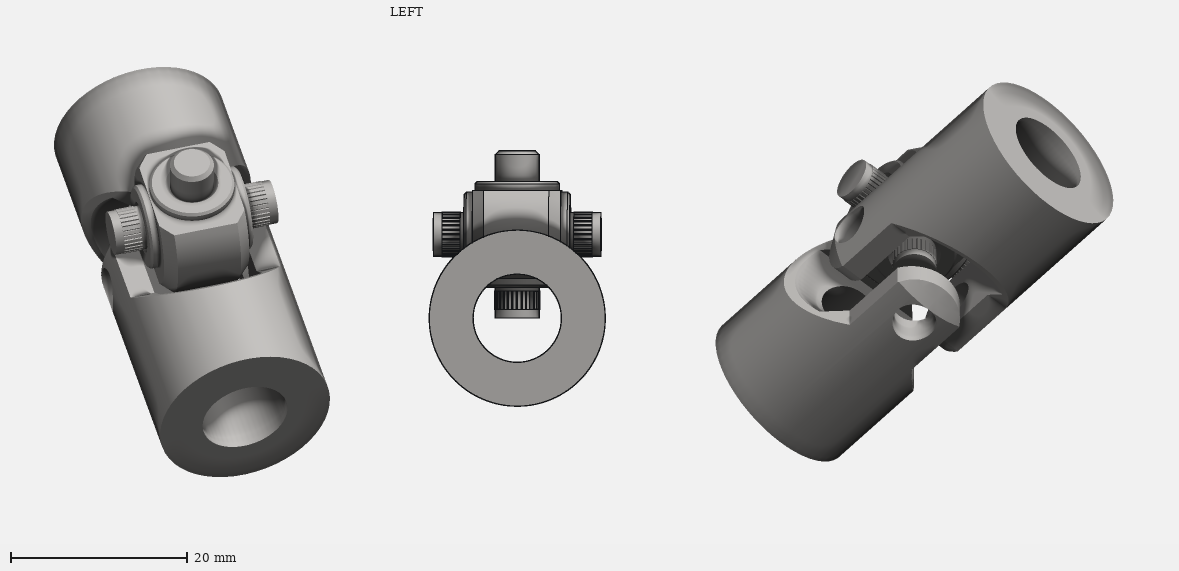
import cadquery as cq
import math


JOINT_LENGTH = 45.0
FORK_DIAMETER = 20.0
BORE_DIAMETER = 10.0
PIN_DIAMETER = 5.0
CROSS_LIFT = 9.5
CROSS_TURN = -1.0

ARM_WIDTH = 9.4
ARM_REACH = 5.0
ARM_SIDE_REACH = 2.35
TIP_BEVEL_START = 2.48
TIP_BEVEL_ANGLE = 30.0
SHOULDER_START = 11.02
ARM_GAP = 12.0
GAP_FLOOR_RADIUS = 10.12

BLOCK_SIZE = 10.0
BLOCK_ROUND_RADIUS = 8.0
BLOCK_CHAMFER = 1.3
COLLAR_DIAMETER = 9.65
COLLAR_CHAMFER = 0.25
COUNTERSINK_DIAMETER = 6.0

PIN_REACH = 9.5
PIN_CHAMFER = 0.45
KNURL_MARGIN = 1.0
KNURL_LENGTH = 2.05
KNURL_TEETH = 30
KNURL_TIP_RADIUS = 2.55
KNURL_ROOT_RADIUS = 2.45
CREST_SHARE = 0.7

HALF_LENGTH = JOINT_LENGTH / 2
FORK_RADIUS = FORK_DIAMETER / 2
PIN_RADIUS = PIN_DIAMETER / 2
ARM_HALF_WIDTH = ARM_WIDTH / 2
SHOULDER_END = SHOULDER_START - (FORK_RADIUS - ARM_HALF_WIDTH)
TIP_RADIUS = FORK_RADIUS - (ARM_REACH - TIP_BEVEL_START) * math.tan(math.radians(TIP_BEVEL_ANGLE))
COLLAR_FACE = ARM_GAP / 2
COUNTERSINK_DEPTH = (COUNTERSINK_DIAMETER - PIN_DIAMETER) / 2
KNURL_END = PIN_REACH - KNURL_MARGIN
KNURL_START = KNURL_END - KNURL_LENGTH

ORIGIN = (0, 0, 0)
X_AXIS = (1, 0, 0)
Y_AXIS = (0, 1, 0)
Z_AXIS = (0, 0, 1)


def fork():
    """Fork with its shaft end toward -X and its arms above and below the X axis."""
    sleeve = (
        cq.Workplane("XY")
        .moveTo(-HALF_LENGTH, BORE_DIAMETER / 2)
        .lineTo(-HALF_LENGTH, FORK_RADIUS)
        .lineTo(TIP_BEVEL_START, FORK_RADIUS)
        .lineTo(ARM_REACH, TIP_RADIUS)
        .lineTo(ARM_REACH, BORE_DIAMETER / 2)
        .close()
        .revolve(360, ORIGIN, X_AXIS)
    )
    arm_outline = (
        cq.Workplane("XY")
        .moveTo(-HALF_LENGTH, -FORK_RADIUS)
        .lineTo(-SHOULDER_START, -FORK_RADIUS)
        .lineTo(-SHOULDER_END, -ARM_HALF_WIDTH)
        .lineTo(ARM_SIDE_REACH, -ARM_HALF_WIDTH)
        .threePointArc((ARM_REACH, 0), (ARM_SIDE_REACH, ARM_HALF_WIDTH))
        .lineTo(-SHOULDER_END, ARM_HALF_WIDTH)
        .lineTo(-SHOULDER_START, FORK_RADIUS)
        .lineTo(-HALF_LENGTH, FORK_RADIUS)
        .close()
        .extrude(FORK_RADIUS, both=True)
    )
    gap = (
        cq.Workplane("XZ")
        .circle(GAP_FLOOR_RADIUS)
        .extrude(FORK_RADIUS, both=True)
        .intersect(cq.Workplane("XY").box(JOINT_LENGTH, FORK_DIAMETER, ARM_GAP))
    )
    pin_hole = cq.Workplane("XY").circle(PIN_RADIUS).extrude(FORK_RADIUS, both=True)
    return sleeve.intersect(arm_outline).cut(gap).cut(pin_hole)


def place_in_cross(body):
    """Move a body from the cross centre at the origin to its place in the joint."""
    return body.rotate(ORIGIN, Z_AXIS, CROSS_TURN).translate((0, 0, CROSS_LIFT))


def block_envelope():
    """Block without collars or bores: rounded, bevelled toward +-Y, flat above and below."""
    return (
        cq.Workplane("XZ")
        .circle(BLOCK_ROUND_RADIUS)
        .extrude(BLOCK_SIZE / 2, both=True)
        .edges()
        .chamfer(BLOCK_CHAMFER)
        .intersect(cq.Workplane("XY").box(JOINT_LENGTH, BLOCK_SIZE, BLOCK_SIZE))
    )


def collars():
    """Bar along Z that leaves a collar proud of the block at each end."""
    return (
        cq.Workplane("XY")
        .circle(COLLAR_DIAMETER / 2)
        .extrude(COLLAR_FACE, both=True)
        .faces("<Z or >Z")
        .edges()
        .chamfer(COLLAR_CHAMFER)
    )


def countersunk_bore():
    """Pin bore along Z with a countersink at each collar face."""
    half_bore = (
        cq.Workplane("XZ")
        .lineTo(PIN_RADIUS, 0)
        .lineTo(PIN_RADIUS, COLLAR_FACE - COUNTERSINK_DEPTH)
        .lineTo(COUNTERSINK_DIAMETER / 2, COLLAR_FACE)
        .lineTo(0, COLLAR_FACE)
        .close()
        .revolve(360, ORIGIN, Y_AXIS)
    )
    return half_bore.union(half_bore.mirror("XY"))


def cross_block():
    """Central block with a collar and a countersunk bore on both pin axes."""
    block = block_envelope()
    quarter_turns = (0, 90)
    for angle in quarter_turns:
        block = block.union(collars().rotate(ORIGIN, X_AXIS, angle))
    for angle in quarter_turns:
        block = block.cut(countersunk_bore().rotate(ORIGIN, X_AXIS, angle))
    return block


def knurl():
    """Band of flat-topped teeth and V grooves around Z, near the pin end at +Z."""
    pitch = 2 * math.pi / KNURL_TEETH
    half_crest = CREST_SHARE * pitch / 2
    outline = []
    for i in range(KNURL_TEETH):
        middle = (i + 0.5) * pitch
        for radius, angle in (
            (KNURL_TIP_RADIUS, middle - half_crest),
            (KNURL_TIP_RADIUS, middle + half_crest),
            (KNURL_ROOT_RADIUS, middle + pitch / 2),
        ):
            outline.append((radius * math.cos(angle), radius * math.sin(angle)))
    return cq.Workplane("XY").workplane(offset=KNURL_START).polyline(outline).close().extrude(KNURL_LENGTH)


def knurled_pin(inner_end):
    """Pin along Z from inner_end to PIN_REACH, knurled near its outer end."""
    shank = cq.Workplane("XY").workplane(offset=inner_end).circle(PIN_RADIUS).extrude(KNURL_START - inner_end)
    plain_end = cq.Workplane("XY").workplane(offset=KNURL_END).circle(PIN_RADIUS).extrude(KNURL_MARGIN)
    return shank.union(knurl()).union(plain_end)


def long_pin():
    """Pin through the whole block, knurled below and chamfered above."""
    pin = knurled_pin(-PIN_REACH).faces("<Z").chamfer(PIN_CHAMFER)
    return pin.rotate(ORIGIN, X_AXIS, 180)


block = place_in_cross(cross_block())
vertical_pin = place_in_cross(long_pin())
short_pins = []
for tilt in (90, -90):
    pin = knurled_pin(PIN_RADIUS).rotate(ORIGIN, X_AXIS, tilt)
    short_pins.append(place_in_cross(pin).solids().val())

left_fork = fork().cut(place_in_cross(block_envelope()))
right_fork = fork().rotate(ORIGIN, Z_AXIS, 180).rotate(ORIGIN, X_AXIS, 90)

result = cq.Compound.makeCompound(
    [
        left_fork.solids().val(),
        right_fork.solids().val(),
        block.solids().val(),
        vertical_pin.solids().val(),
        *short_pins,
    ]
)